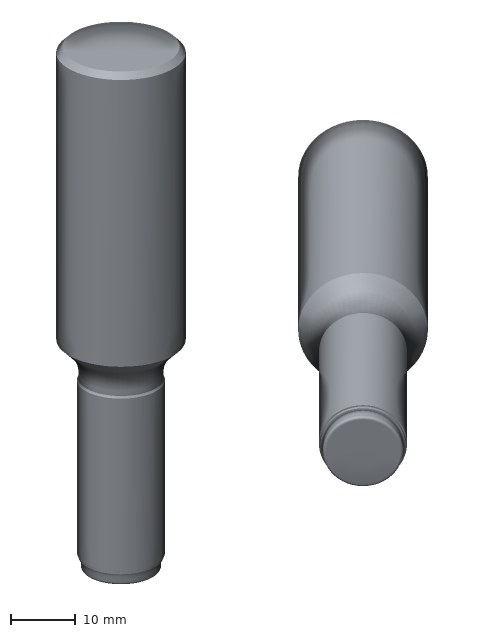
import cadquery as cq
import math

total_height = 89.0
grip_radius = 20.0 / 2
grip_chamfer = 1.0
shoulder_z = 39.1
shoulder_angle = math.radians(45)
neck_radius = 13.2 / 2
neck_fillet = 5.0

joint_z = 32.75
shank_radius = 13.6 / 2
collar_height = 0.6
shank_taper_height = 0.4
shank_bottom_z = 2.7
pilot_radius = 12.4 / 2
pilot_round = 0.45


def revolve_profile(profile):
    """Close an XZ half-profile and turn it about the Z axis."""
    return profile.close().revolve(360, (0, 0, 0), (0, 1, 0))


def make_handle():
    fillet_top_radius = neck_radius + neck_fillet * (1 - math.cos(shoulder_angle))
    fillet_top_z = shoulder_z - (grip_radius - fillet_top_radius) / math.tan(shoulder_angle)
    fillet_bottom_z = fillet_top_z - neck_fillet * math.sin(shoulder_angle)
    half_angle = shoulder_angle / 2
    fillet_middle_radius = neck_radius + neck_fillet * (1 - math.cos(half_angle))
    fillet_middle_z = fillet_bottom_z + neck_fillet * math.sin(half_angle)

    return revolve_profile(
        cq.Workplane("XZ")
        .moveTo(0, joint_z)
        .lineTo(neck_radius, joint_z)
        .lineTo(neck_radius, fillet_bottom_z)
        .threePointArc((fillet_middle_radius, fillet_middle_z), (fillet_top_radius, fillet_top_z))
        .lineTo(grip_radius, shoulder_z)
        .lineTo(grip_radius, total_height - grip_chamfer)
        .lineTo(grip_radius - grip_chamfer, total_height)
        .lineTo(0, total_height)
    )


def make_stud():
    collar_radius = neck_radius
    return revolve_profile(
        cq.Workplane("XZ")
        .lineTo(pilot_radius - pilot_round, 0)
        .radiusArc((pilot_radius, pilot_round), -pilot_round)
        .lineTo(pilot_radius, shank_bottom_z - collar_height)
        .lineTo(collar_radius, shank_bottom_z - collar_height)
        .lineTo(collar_radius, shank_bottom_z)
        .lineTo(shank_radius, shank_bottom_z)
        .lineTo(shank_radius, joint_z - collar_height)
        .lineTo(collar_radius, joint_z - collar_height + shank_taper_height)
        .lineTo(collar_radius, joint_z)
        .lineTo(0, joint_z)
    )


handle = make_handle()
stud = make_stud()
result = cq.Compound.makeCompound([handle.val(), stud.val()])